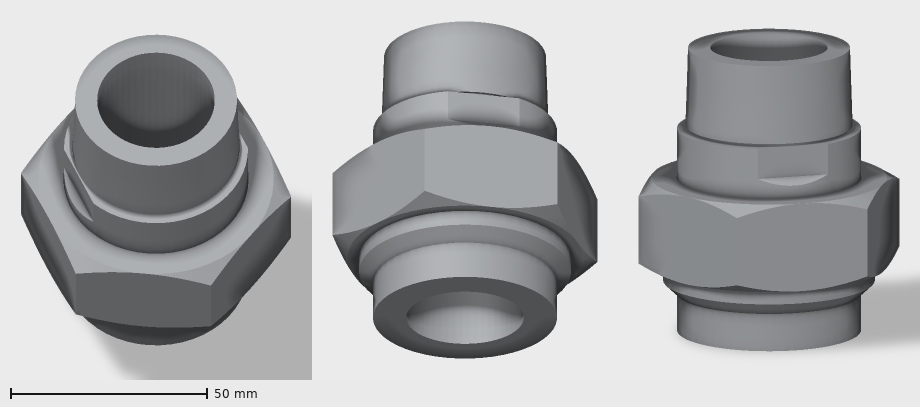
import cadquery as cq
import math


bore_radius = 14.985
sleeve_radius = 23.45
collar_radius = 27.0

sleeve_top = 9.8
collar_bottom = 13.1
nut_bottom = 17.0
joint_height = 30.35
lip_bottom = 34.8
nut_top = 39.95
shoulder_top = 53.0
thread_bottom = 53.7
total_height = 74.0

neck_radius = 20.6
thread_bottom_radius = 21.3
thread_top_radius = 20.65
wrench_flat_offset = 21.5
wrench_flat_bottom = 45.1

hex_sides = 6
across_flats = 60.0
hex_bevel_angle = 30.0
nut_clearance = 0.15
nut_height = nut_top - nut_bottom
across_corners = across_flats / math.cos(math.radians(180 / hex_sides))


def revolve_profile(points):
    """Turn an outline of (radius, height) points about the Z axis."""
    return cq.Workplane("XZ").polyline(points).close().revolve(360, (0, 0, 0), (0, 1, 0))


def make_socket():
    """Lower sleeve, widening through a cone to the collar inside the nut."""
    return revolve_profile([
        (bore_radius, 0),
        (sleeve_radius, 0),
        (sleeve_radius, sleeve_top),
        (collar_radius, collar_bottom),
        (collar_radius, joint_height),
        (bore_radius, joint_height),
    ])


def make_wrench_flat_cutter():
    """Side cut on -Y with a flat upright face and a 45 degree run-out at its lower end."""
    depth = collar_radius - wrench_flat_offset
    return (
        cq.Workplane("YZ")
        .polyline([
            (-wrench_flat_offset, shoulder_top),
            (-wrench_flat_offset, wrench_flat_bottom),
            (-wrench_flat_offset - depth, wrench_flat_bottom - depth),
            (-wrench_flat_offset - depth, shoulder_top),
        ])
        .close()
        .extrude(collar_radius, both=True)
    )


def make_tailpiece():
    """Flange, shoulder with two wrench flats, relief neck and tapered thread end."""
    body = revolve_profile([
        (bore_radius, joint_height),
        (collar_radius, joint_height),
        (collar_radius, lip_bottom),
        (sleeve_radius, lip_bottom),
        (sleeve_radius, shoulder_top),
        (neck_radius, shoulder_top),
        (neck_radius, thread_bottom),
        (thread_bottom_radius, thread_bottom),
        (thread_top_radius, total_height),
        (bore_radius, total_height),
    ])
    cutter = make_wrench_flat_cutter()
    return body.cut(cutter).cut(cutter.mirror("XZ"))


def make_nut():
    """Hexagon with bevelled corners, a cavity from below and an inner lip at the top."""
    hexagon = (
        cq.Workplane("XY")
        .workplane(offset=nut_bottom)
        .polygon(hex_sides, across_corners)
        .extrude(nut_height)
    )
    bevel_radius = across_flats / 2
    corner_radius = across_corners / 2
    bevel_drop = (corner_radius - bevel_radius) * math.tan(math.radians(hex_bevel_angle))
    bevel_envelope = revolve_profile([
        (0, nut_bottom),
        (bevel_radius, nut_bottom),
        (corner_radius, nut_bottom + bevel_drop),
        (corner_radius, nut_top - bevel_drop),
        (bevel_radius, nut_top),
        (0, nut_top),
    ])
    hollow = revolve_profile([
        (0, nut_bottom),
        (collar_radius, nut_bottom),
        (collar_radius, lip_bottom),
        (sleeve_radius + nut_clearance, lip_bottom),
        (sleeve_radius + nut_clearance, nut_top),
        (0, nut_top),
    ])
    return hexagon.intersect(bevel_envelope).cut(hollow)


socket = make_socket()
tailpiece = make_tailpiece()
nut = make_nut()

result = cq.Compound.makeCompound([
    socket.solids().val(),
    tailpiece.solids().val(),
    nut.solids().val(),
])